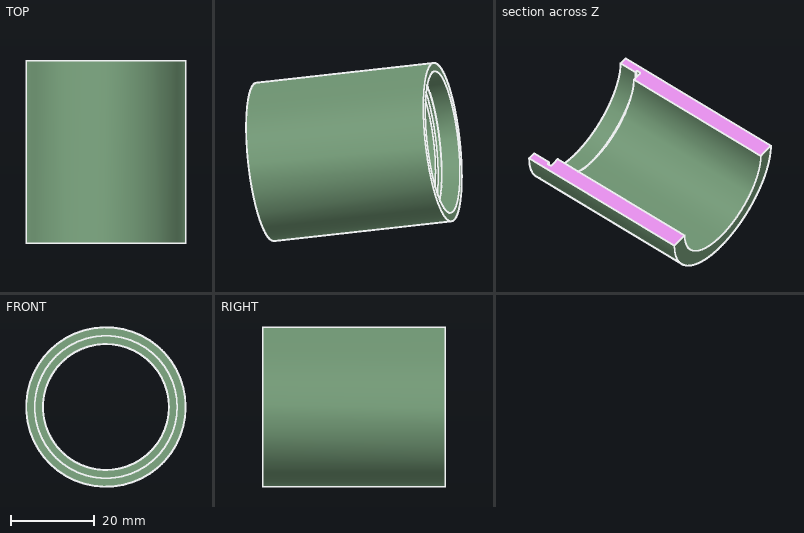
import cadquery as cq

outer_diameter = 38.1
bore_diameter = 30.0
length = 43.6

seat_diameter = 34.0
seat_depth = 5.5
relief_diameter = 35.2
relief_width = 1.0

front_y = -length / 2


def cylinder_along_y(diameter, start_y, depth):
    """Cylinder on the sleeve axis that runs from start_y toward +Y."""
    start_plane = cq.Workplane("XZ", origin=(0, start_y, 0))
    return start_plane.circle(diameter / 2).extrude(-depth)


body = cylinder_along_y(outer_diameter, front_y, length)
bore = cylinder_along_y(bore_diameter, front_y, length)
seat = cylinder_along_y(seat_diameter, front_y, seat_depth)

relief_start_y = front_y + seat_depth - relief_width
relief = cylinder_along_y(relief_diameter, relief_start_y, relief_width)

result = body.cut(bore).cut(seat).cut(relief)